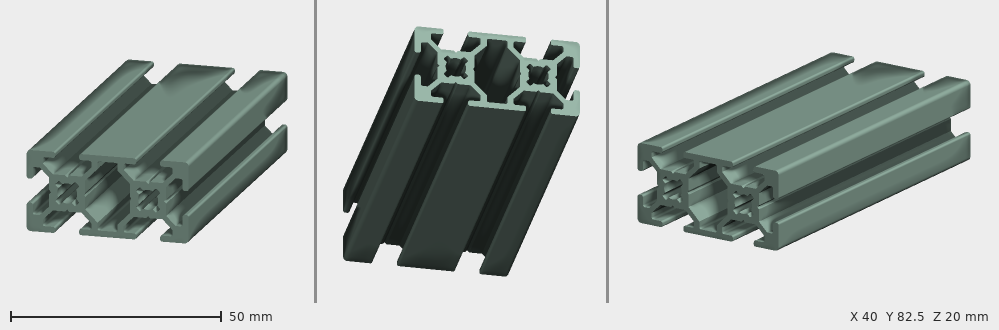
import cadquery as cq

length = 82.5
width = 40.0
height = 20.0
cell_offset = width / 4
half_width = width / 2
half_height = height / 2

lip_thickness = 1.5
slot_half_opening = 3.0
slot_half_cavity = 6.0
end_slot_half_cavity = 5.85
core_half = 4.45
web_offset = 0.9
wall_thickness = 1.5
notch_half_width = 0.5
slot_notch_depth = 0.5
chamber_notch_depth = 0.25

corner_radius = 1.0
lip_outer_radius = 0.5
lip_inner_radius = 0.5
slot_corner_radius = 0.5
end_slot_corner_radius = 0.5
chamber_corner_radius = 0.5

bore_radius = 2.5
relief_slot_width = 1.5
relief_slot_length = 7.1
relief_slot_radius = 0.3

lip_depth = half_height - lip_thickness


def prism(points):
    """Extrude an X-Z outline through the full length, centred on Y."""
    return cq.Workplane("XZ").polyline(points).close().extrude(length / 2, both=True)


def mirrored(points):
    """Complete an outline given on its positive-X side, symmetric about the Z axis."""
    return points + [(-x, z) for x, z in reversed(points) if x > 0]


def edge_at(body, x, z):
    """Select the lengthwise edge that passes through an X-Z point."""
    return body.edges("|Y").edges(cq.selectors.NearestToPointSelector((x, 0, z)))


def t_slot(half_cavity, corner_radius):
    """Slot opening upward, centred on a cell at the origin, with a notch in its floor."""
    slot = prism(mirrored([
        (slot_half_opening, half_height + lip_thickness),
        (slot_half_opening, lip_depth),
        (half_cavity, lip_depth),
        (half_cavity, half_cavity + web_offset),
        (core_half - web_offset, core_half),
        (notch_half_width, core_half),
        (0, core_half - slot_notch_depth),
    ]))
    for corner_x in (-half_cavity, half_cavity):
        slot = edge_at(slot, corner_x, lip_depth).fillet(corner_radius)
    return slot


def core_bore():
    """Round bore with two crossed diagonal slots."""
    bore = cq.Workplane("XZ").circle(bore_radius).extrude(length / 2, both=True)
    relief = (
        cq.Workplane("XY")
        .box(relief_slot_length, length, relief_slot_width)
        .edges("|Y")
        .fillet(relief_slot_radius)
    )
    for angle in (45, -45):
        bore = bore.union(relief.rotate((0, 0, 0), (0, 1, 0), angle))
    return bore


def middle_chamber():
    """Closed octagonal chamber between the two cores, with a notch in each core face."""
    half_top = cell_offset - slot_half_cavity - wall_thickness
    half_span = cell_offset - core_half
    upper_right = [
        (half_top, lip_depth),
        (half_top, cell_offset - half_top - web_offset),
        (half_span, core_half - web_offset),
        (half_span, notch_half_width),
    ]
    lower_right = [(x, -z) for x, z in reversed(upper_right)]
    notch_tip = (half_span + chamber_notch_depth, 0)
    chamber = prism(mirrored(upper_right + [notch_tip] + lower_right))
    for corner_x in (-half_top, half_top):
        for corner_z in (-lip_depth, lip_depth):
            chamber = edge_at(chamber, corner_x, corner_z).fillet(chamber_corner_radius)
    return chamber


def finish_lip(body, outer_edge, inner_edge):
    """Round the outer and inner edges of a lip."""
    body = edge_at(body, *outer_edge).fillet(lip_outer_radius)
    return edge_at(body, *inner_edge).fillet(lip_inner_radius)


result = cq.Workplane("XY").box(width, length, height).edges("|Y").fillet(corner_radius)
result = result.cut(middle_chamber())
top_slot = t_slot(slot_half_cavity, slot_corner_radius)
bottom_slot = top_slot.mirror("XY")
end_slot = t_slot(end_slot_half_cavity, end_slot_corner_radius).rotate((0, 0, 0), (0, 1, 0), -90)
for cut in (top_slot, bottom_slot, end_slot, core_bore()):
    left_cut = cut.translate((-cell_offset, 0, 0))
    result = result.cut(left_cut).cut(left_cut.mirror("YZ"))

for side in (-1, 1):
    end_face_x = side * half_width
    end_lip_x = side * (cell_offset + lip_depth)
    for face in (-1, 1):
        end_lip_z = face * slot_half_opening
        result = finish_lip(result, (end_face_x, end_lip_z), (end_lip_x, end_lip_z))
        for edge in (-1, 1):
            lip_x = side * cell_offset + edge * slot_half_opening
            result = finish_lip(result, (lip_x, face * half_height), (lip_x, face * lip_depth))